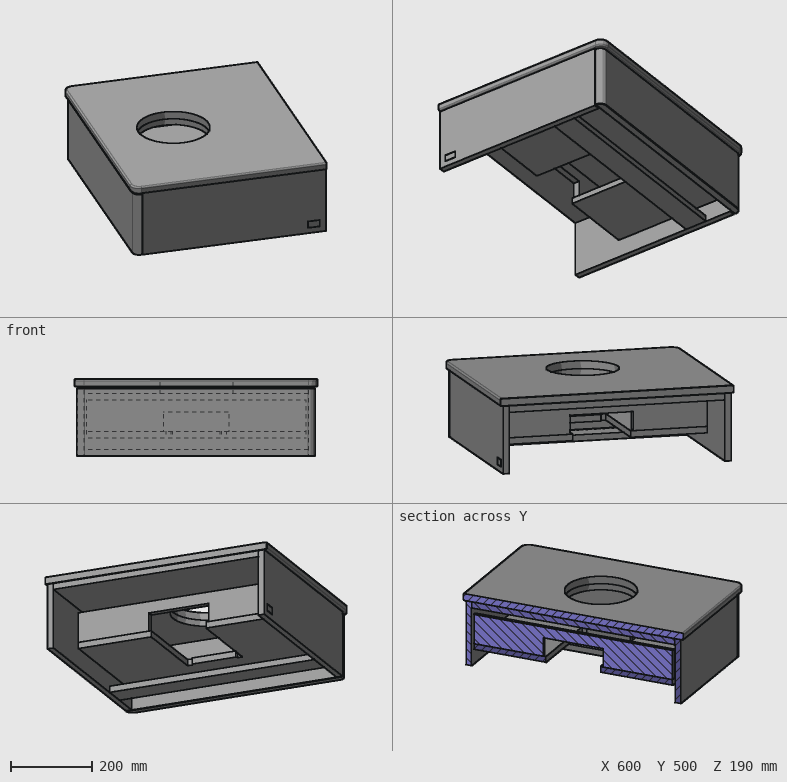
import cadquery as cq


width = 600.0
depth = 500.0
height = 190.0

top_thickness = 20.0
top_corner_radius = 23.0
top_edge_radius = 4.0
top_back_chamfer = 1.0
overhang = 6.0

basin_diameter = 180.0
basin_y = -305.5

board = 16.0
body_width = width - 2 * overhang
body_height = height - top_thickness
body_depth = 471.0
side_inset = 1.0
carcass_width = body_width - 2 * side_inset
inner_width = carcass_width - 2 * board
rail_offset = 32.0
rail_back_y = basin_y - rail_offset
rail_depth = 60.0

cover_length = 30.0
cover_height = 17.5
cover_thickness = 1.0
cover_y = -32.0
cover_z = 24.0

front_thickness = 20.5
front_corner_radius = 18.5
front_edge_chamfer = 1.0
front_top_gap = 3.5
front_face_y = -(depth - overhang)
front_back_y = front_face_y + front_thickness
drawer_side_gap = 6.0
drawer_width = inner_width - 2 * drawer_side_gap
floor_bottom_z = 45.0
floor_top_z = floor_bottom_z + board
floor_back_offset = 168.5
floor_back_y = basin_y + floor_back_offset

slot_width = 148.0
slot_front_offset = 44.5
slot_front_y = basin_y - slot_front_offset
relief_width = 12.0
relief_depth = 6.0
relief_slope = 3.0
notch_width = 162.0
notch_height = 48.0
drawer_back_height = 78.0


def box(x_size, y_size, z_size, y_max, z_min):
    """Block centred on X = 0, with its wall-side face at y_max and its underside at z_min."""
    block = cq.Workplane("XY").box(x_size, y_size, z_size, centered=(True, False, False))
    return block.translate((0, y_max - y_size, z_min))


def basin_hole():
    """Cylinder that cuts the basin opening through the boards above the drawer."""
    hole = cq.Workplane("XY").circle(basin_diameter / 2).extrude(height - body_height + board)
    return hole.translate((0, basin_y, body_height - board))


def make_countertop():
    slab = box(width, depth, top_thickness, 0, body_height)
    slab = slab.edges("|Z and <Y").fillet(top_corner_radius)
    slab = slab.faces(">Z or <Z").edges("not >Y").fillet(top_edge_radius)
    slab = slab.faces(">Y").chamfer(top_back_chamfer)
    return slab.cut(basin_hole())


def make_top_panel():
    panel = box(inner_width, body_depth, board, 0, body_height - board)
    return panel.cut(basin_hole())


def make_side_panel(side):
    panel = box(board, body_depth, body_height, 0, 0)
    return panel.translate((side * (carcass_width - board) / 2, 0, 0))


def make_bracket_cover(side):
    cover = cq.Workplane("XY").box(cover_thickness, cover_length, cover_height)
    return cover.translate((side * (carcass_width + cover_thickness) / 2, cover_y, cover_z))


def make_bottom_rail():
    return box(inner_width, rail_depth, board, rail_back_y, 0)


def make_drawer_front():
    front = box(body_width, front_thickness, body_height - front_top_gap, front_back_y, 0)
    front = front.edges("|Z and <Y").fillet(front_corner_radius)
    return front.faces(">Z or <Z").chamfer(front_edge_chamfer)


def make_drawer_floor():
    floor = box(drawer_width, floor_back_y - front_back_y, board, floor_back_y, floor_bottom_z)
    side_x = slot_width / 2
    relief_y = slot_front_y - relief_depth
    relief_x = side_x - relief_width
    slope_x = relief_x - relief_slope
    slot = (
        cq.Workplane("XY")
        .polyline([
            (-side_x, floor_back_y),
            (-side_x, relief_y),
            (-relief_x, relief_y),
            (-slope_x, slot_front_y),
            (slope_x, slot_front_y),
            (relief_x, relief_y),
            (side_x, relief_y),
            (side_x, floor_back_y),
        ])
        .close()
        .extrude(board)
        .translate((0, 0, floor_bottom_z))
    )
    return floor.cut(slot)


def make_drawer_back():
    back = box(drawer_width, board, drawer_back_height, floor_back_y, floor_top_z)
    notch = box(notch_width, board, notch_height, floor_back_y, floor_top_z)
    return back.cut(notch)


countertop = make_countertop()
top_panel = make_top_panel()
bottom_rail = make_bottom_rail()
drawer_front = make_drawer_front()
drawer_floor = make_drawer_floor()
drawer_back = make_drawer_back()

side_panels = []
bracket_covers = []
for side in (-1, 1):
    side_panels.append(make_side_panel(side).val())
    bracket_covers.append(make_bracket_cover(side).val())

result = cq.Compound.makeCompound([
    countertop.val(),
    top_panel.val(),
    *side_panels,
    *bracket_covers,
    bottom_rail.val(),
    drawer_front.val(),
    drawer_floor.val(),
    drawer_back.val(),
])